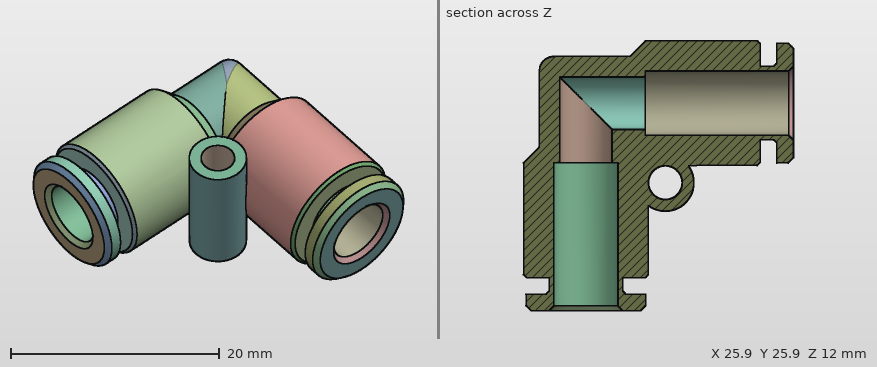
import cadquery as cq
import math


overall_length = 25.9

body_radius = 12.0 / 2
pipe_radius = 4.5
cone_start = 4.22
cone_length = body_radius - pipe_radius
body_end = 16.73
body_chamfer = 0.3
elbow_fillet = 1.5

arm_end = overall_length - body_radius
sleeve_radius = 7.1 / 2
sleeve_flare = 0.28
flange_radius = 11.5 / 2
flange_start = 18.29
flange_chamfer = 0.52

tube_radius = 6.15 / 2
passage_radius = 5.0 / 2
mouth_chamfer = sleeve_radius - tube_radius
tube_stop = cone_start + cone_length

ring_radius = 5.5 / 2
ring_hole_radius = 3.2 / 2
ring_offset = 7.61
ring_height = 2 * body_radius


def revolve_about_x(points):
    """Solid of revolution about the X axis from (distance, radius) points."""
    profile = cq.Workplane("XY").polyline(points).close()
    return profile.revolve(360, (0, 0, 0), (1, 0, 0))


def both_arms(x_arm):
    """An arm along +X joined with its copy along -Y."""
    return x_arm.union(x_arm.rotate((0, 0, 0), (0, 0, 1), -90))


def mitred_pipe(radius, reach):
    """Round bar from -Y to +X with a sharp mitred corner at the origin."""
    path = cq.Workplane("XY").polyline([(0, -reach), (0, 0), (reach, 0)])
    section = cq.Workplane("XZ", origin=(0, -reach, 0)).circle(radius)
    return section.sweep(path, transition="right")


def corner_wedge():
    """Block around the outer corner, bounded by the planes where its rounding starts."""
    far = 2 * pipe_radius
    near = 2 * (pipe_radius - elbow_fillet)
    outline = [(0, 0), (-near, far), (-far, far), (-far, near)]
    return cq.Workplane("XY").polyline(outline).close().extrude(far, both=True)


def corner_bead():
    """Tube along the outer half of the mitre ellipse that a ball of the fillet radius rolls on."""
    half_height = pipe_radius - elbow_fillet
    half_width = half_height * math.sqrt(2)
    mitre_plane = cq.Plane(origin=(0, 0, 0), xDir=(-1, 1, 0), normal=(-1, -1, 0))
    path = cq.Workplane(mitre_plane).ellipseArc(half_width, half_height, -90, 90, startAtCurrent=False)
    start_plane = cq.Plane(origin=(0, 0, half_height), xDir=(0, 0, 1), normal=(-1, 1, 0))
    return cq.Workplane(start_plane).circle(elbow_fillet).sweep(path)


def elbow_pipe():
    """Mitred pipe with its outer corner edge rounded, fading out at the top and bottom."""
    sharp_pipe = mitred_pipe(pipe_radius, tube_stop)
    core = mitred_pipe(pipe_radius - elbow_fillet, tube_stop)
    rounded_corner = corner_wedge().intersect(core.union(corner_bead()))
    return sharp_pipe.cut(corner_wedge()).union(rounded_corner)


def arm_outside():
    """Outer shape of the +X arm, body and release sleeve, without its bore."""
    return revolve_about_x([
        (cone_start, 0),
        (cone_start, pipe_radius),
        (cone_start + cone_length, body_radius),
        (body_end - body_chamfer, body_radius),
        (body_end, body_radius - body_chamfer),
        (body_end, sleeve_radius),
        (flange_start - sleeve_flare, sleeve_radius),
        (flange_start, sleeve_radius + sleeve_flare),
        (flange_start, flange_radius),
        (arm_end - flange_chamfer, flange_radius),
        (arm_end, flange_radius - flange_chamfer),
        (arm_end, 0),
    ])


def tube_socket():
    """Space for the tube in the +X arm, with a chamfered mouth."""
    return revolve_about_x([
        (tube_stop, 0),
        (tube_stop, tube_radius),
        (arm_end - mouth_chamfer, tube_radius),
        (arm_end, tube_radius + mouth_chamfer),
        (arm_end, 0),
    ])


def ring_cylinder(radius):
    """Cylinder along Z on the axis of the mounting ring."""
    base = cq.Workplane("XY").center(ring_offset, -ring_offset)
    return base.circle(radius).extrude(ring_height / 2, both=True)


outside = elbow_pipe().union(both_arms(arm_outside())).union(ring_cylinder(ring_radius))
bore = mitred_pipe(passage_radius, tube_stop).union(both_arms(tube_socket()))
result = outside.cut(bore).cut(ring_cylinder(ring_hole_radius))